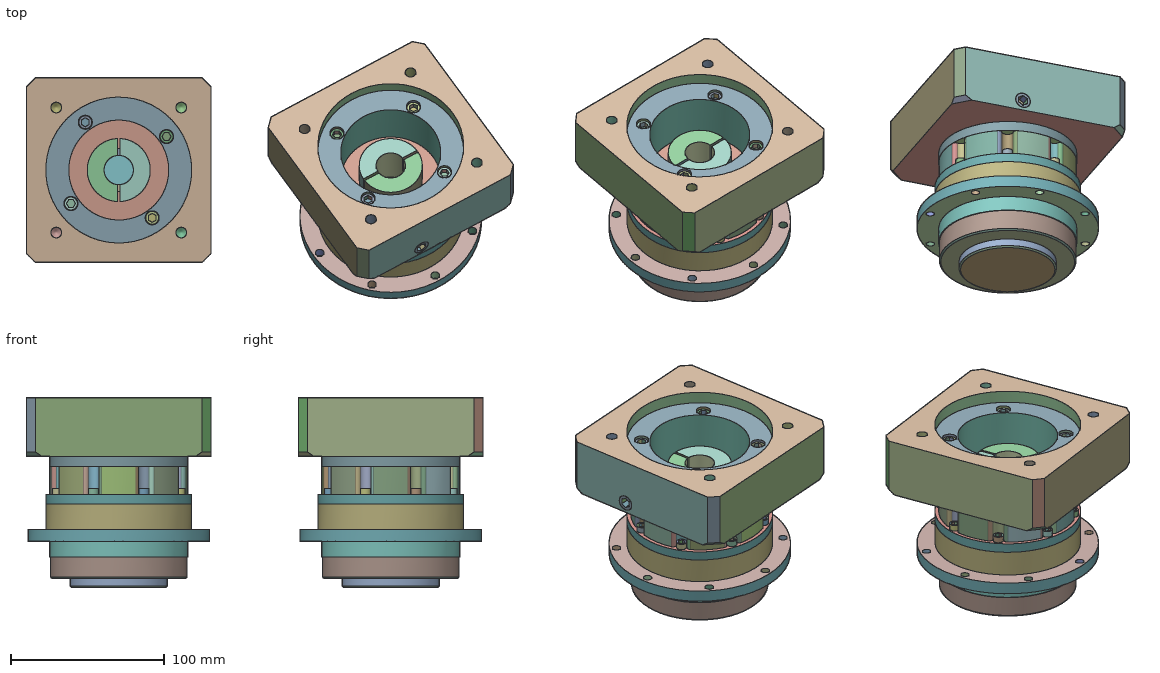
import cadquery as cq
import math

TOTAL_HEIGHT = 123.5
PLATE_HEIGHT = 38.3
PLATE_BOTTOM_Z = TOTAL_HEIGHT - PLATE_HEIGHT
COVER_TOP_Z = 78.7
SHOULDER_Z = 60.5
COVER_BOTTOM_Z = 54.3
FLANGE_TOP_Z = 37.8
FLANGE_BOTTOM_Z = 30.0
PILOT_BOTTOM_Z = 20.0
NOSE_BOTTOM_Z = 5.8

NECK_RADIUS = 45.0
DRUM_RADIUS = 47.4
FLANGE_RADIUS = 59.0
PILOT_RADIUS = NECK_RADIUS
NOSE_RADIUS = 44.5
HUB_RADIUS = 31.6
BOTTOM_CHAMFER = 1.0

FLANGE_HOLE_COUNT = 8
FLANGE_HOLE_RADIUS = 2.7
FLANGE_HOLE_CIRCLE = 54.5

NECK_SCREW_COUNT = 8
NECK_SCREW_CIRCLE = 43.0
NECK_SCREW_RADIUS = 3.3
NECK_SCREW_HEIGHT = 4.0
NECK_SOCKET_FLATS = 4.0
NECK_SOCKET_DEPTH = 2.5
POCKET_RADIUS = 3.7
POCKET_EDGE_ROUND = 2.5

WELL_RADIUS = 32.5
WELL_FLOOR_Z = 81.8
COLLET_RADIUS = 20.5
COLLET_TOP_Z = 99.2
COLLET_BORE_RADIUS = 9.5
COLLET_BORE_DEPTH = 29.6
SLOT_WIDTH = 1.5
SLEEVE_RADIUS = 14.0
SLEEVE_SLOT_DEPTH = 14.8

PLATE_SIDE = 120.0
CORNER_CHAMFER = 5.8
CORNER_BOTTOM_CHAMFER = 3.0
RECESS_RADIUS = 47.4
RECESS_DEPTH = 8.0
RECESS_FLOOR_Z = TOTAL_HEIGHT - RECESS_DEPTH

CORNER_HOLE_PITCH = 81.3
CORNER_HOLE_RADIUS = 3.5
CORNER_HOLE_DEPTH = 19.8
DRILL_TIP_ANGLE = 118.0

PLATE_SCREW_COUNT = 4
PLATE_SCREW_CIRCLE = 37.9
PLATE_SCREW_START_ANGLE = 35.0
COUNTERBORE_RADIUS = 4.6
PLATE_SCREW_RADIUS = 4.2
PLATE_SCREW_HEIGHT = 5.0
PLATE_SCREW_SINK = 1.5
PLATE_SOCKET_FLATS = 5.1
PLATE_SOCKET_DEPTH = 3.7

PLUG_Y = 14.0
PLUG_Z = 92.4
PLUG_RADIUS = 5.1
PLUG_HOLE_RADIUS = 5.2
PLUG_LENGTH = 10.0
PLUG_SOCKET_FLATS = 6.0
PLUG_SOCKET_DEPTH = 6.2


def cylinder(radius, bottom_z, top_z, x=0.0, y=0.0):
    """Upright cylinder between two heights."""
    return cq.Workplane("XY", origin=(x, y, bottom_z)).circle(radius).extrude(top_z - bottom_z)


def hexagon_prism(flats, bottom_z, top_z, x=0.0, y=0.0, turn=0.0):
    """Upright hexagonal prism; at zero turn its first corner points along +X."""
    corner_diameter = flats / math.cos(math.pi / 6)
    prism = cq.Workplane("XY").polygon(6, corner_diameter).extrude(top_z - bottom_z)
    return prism.rotate((0, 0, 0), (0, 0, 1), turn).translate((x, y, bottom_z))


def socket_head(radius, bottom_z, top_z, flats, socket_depth, x, y, turn):
    """Cylindrical screw head with a hexagonal socket in its top."""
    socket = hexagon_prism(flats, top_z - socket_depth, top_z, x, y, turn)
    return cylinder(radius, bottom_z, top_z, x, y).cut(socket)


def circle_points(count, radius, start_angle):
    """Evenly spaced (angle, x, y) places on a circle."""
    places = []
    for i in range(count):
        angle = start_angle + i * 360.0 / count
        turn = math.radians(angle)
        places.append((angle, radius * math.cos(turn), radius * math.sin(turn)))
    return places


def make_neck_pocket():
    """Scalloped pocket on the +X side: a round bore whose mouth flares out through two round edges."""
    centre_radius = NECK_RADIUS - POCKET_EDGE_ROUND
    centre_gap = POCKET_RADIUS + POCKET_EDGE_ROUND
    round_x = (centre_radius**2 + NECK_SCREW_CIRCLE**2 - centre_gap**2) / (2 * NECK_SCREW_CIRCLE)
    round_y = math.sqrt(centre_radius**2 - round_x**2)

    bore_share = POCKET_RADIUS / centre_gap
    bore_x = NECK_SCREW_CIRCLE + (round_x - NECK_SCREW_CIRCLE) * bore_share
    bore_y = round_y * bore_share
    neck_x = round_x * NECK_RADIUS / centre_radius
    neck_y = round_y * NECK_RADIUS / centre_radius

    to_bore = math.atan2(bore_y - round_y, bore_x - round_x)
    to_neck = math.atan2(neck_y - round_y, neck_x - round_x)
    halfway = (to_bore + to_neck) / 2
    middle_x = round_x + POCKET_EDGE_ROUND * math.cos(halfway)
    middle_y = round_y + POCKET_EDGE_ROUND * math.sin(halfway)

    return (
        cq.Workplane("XY", origin=(0, 0, SHOULDER_Z))
        .moveTo(neck_x, neck_y)
        .threePointArc((middle_x, middle_y), (bore_x, bore_y))
        .threePointArc((NECK_SCREW_CIRCLE - POCKET_RADIUS, 0), (bore_x, -bore_y))
        .threePointArc((middle_x, -middle_y), (neck_x, -neck_y))
        .lineTo(DRUM_RADIUS, -neck_y)
        .lineTo(DRUM_RADIUS, neck_y)
        .close()
        .extrude(COVER_TOP_Z - SHOULDER_Z)
    )


def make_collet():
    """Slotted clamping collet; its bore is cut separately, into the cover as well."""
    collet = cylinder(COLLET_RADIUS, WELL_FLOOR_Z, COLLET_TOP_Z)
    slot_height = COLLET_TOP_Z - WELL_FLOOR_Z
    slot = (
        cq.Workplane("XY", origin=(0, 0, WELL_FLOOR_Z))
        .rect(SLOT_WIDTH, 2 * COLLET_RADIUS)
        .extrude(slot_height)
    )
    uncut_sleeve = cylinder(SLEEVE_RADIUS, WELL_FLOOR_Z, COLLET_TOP_Z - SLEEVE_SLOT_DEPTH)
    return collet.cut(slot.cut(uncut_sleeve))


def make_gear_unit():
    """Gear unit with output hub, pilot, drilled mounting flange and main drum."""
    hub = cylinder(HUB_RADIUS, 0, NOSE_BOTTOM_Z).faces("<Z").chamfer(BOTTOM_CHAMFER)
    nose = cylinder(NOSE_RADIUS, NOSE_BOTTOM_Z, PILOT_BOTTOM_Z).faces("<Z").chamfer(BOTTOM_CHAMFER)
    gear_unit = (
        hub.union(nose)
        .union(cylinder(PILOT_RADIUS, PILOT_BOTTOM_Z, FLANGE_BOTTOM_Z))
        .union(cylinder(FLANGE_RADIUS, FLANGE_BOTTOM_Z, FLANGE_TOP_Z))
        .union(cylinder(DRUM_RADIUS, FLANGE_TOP_Z, COVER_BOTTOM_Z))
    )
    for _, x, y in circle_points(FLANGE_HOLE_COUNT, FLANGE_HOLE_CIRCLE, 0):
        gear_unit = gear_unit.cut(cylinder(FLANGE_HOLE_RADIUS, FLANGE_BOTTOM_Z, FLANGE_TOP_Z, x, y))
    return gear_unit


def make_input_cover():
    """Input cover with scalloped neck, neck screws, centring spigot and collet."""
    cover = (
        cylinder(DRUM_RADIUS, COVER_BOTTOM_Z, SHOULDER_Z)
        .union(cylinder(NECK_RADIUS, SHOULDER_Z, COVER_TOP_Z))
        .union(cylinder(WELL_RADIUS, COVER_TOP_Z, WELL_FLOOR_Z))
    )

    pocket = make_neck_pocket()
    half_pitch = 180.0 / NECK_SCREW_COUNT
    head_top_z = SHOULDER_Z + NECK_SCREW_HEIGHT
    for angle, x, y in circle_points(NECK_SCREW_COUNT, NECK_SCREW_CIRCLE, half_pitch):
        cover = cover.cut(pocket.rotate((0, 0, 0), (0, 0, 1), angle))
        head = socket_head(NECK_SCREW_RADIUS, SHOULDER_Z, head_top_z,
                           NECK_SOCKET_FLATS, NECK_SOCKET_DEPTH, x, y, angle)
        cover = cover.union(head)

    cover = cover.union(make_collet())
    return cover.cut(cylinder(COLLET_BORE_RADIUS, COLLET_TOP_Z - COLLET_BORE_DEPTH, COLLET_TOP_Z))


def place_in_side(shape):
    """Move a shape built around the X axis into the plug position."""
    return shape.translate((-PLATE_SIDE / 2, PLUG_Y, PLUG_Z))


def make_plug_gap():
    """Narrow ring-shaped clearance around the plug."""
    gap = cq.Workplane("YZ").circle(PLUG_HOLE_RADIUS).circle(PLUG_RADIUS).extrude(PLUG_LENGTH)
    return place_in_side(gap)


def make_plug_socket():
    """Hexagonal socket of the plug, with two corners pointing up and down."""
    corner_diameter = PLUG_SOCKET_FLATS / math.cos(math.pi / 6)
    socket = cq.Workplane("YZ").polygon(6, corner_diameter).extrude(PLUG_SOCKET_DEPTH)
    return place_in_side(socket.rotate((0, 0, 0), (1, 0, 0), 90))


def make_corner_hole(x, y):
    """Blind drilled hole from the top of the plate, with a conical tip."""
    tip_depth = CORNER_HOLE_RADIUS / math.tan(math.radians(DRILL_TIP_ANGLE / 2))
    return (
        cq.Workplane("XZ")
        .polyline([
            (0, 0),
            (CORNER_HOLE_RADIUS, 0),
            (CORNER_HOLE_RADIUS, -CORNER_HOLE_DEPTH),
            (0, -CORNER_HOLE_DEPTH - tip_depth),
        ])
        .close()
        .revolve(360, (0, 0, 0), (0, 1, 0))
        .translate((x, y, TOTAL_HEIGHT))
    )


def make_adapter_plate():
    """Square motor adapter plate with a neck ring below, its screws and its plug."""
    plate = (
        cq.Workplane("XY", origin=(0, 0, PLATE_BOTTOM_Z))
        .rect(PLATE_SIDE, PLATE_SIDE)
        .extrude(PLATE_HEIGHT)
        .edges("|Z")
        .chamfer(CORNER_CHAMFER)
    )
    corner_bottom_edges = plate.faces("<Z").edges("not(#X or #Y)")
    plate = corner_bottom_edges.chamfer(CORNER_BOTTOM_CHAMFER)

    plate = plate.union(cylinder(NECK_RADIUS, COVER_TOP_Z, PLATE_BOTTOM_Z))
    plate = plate.cut(cylinder(RECESS_RADIUS, RECESS_FLOOR_Z, TOTAL_HEIGHT))
    plate = plate.cut(cylinder(WELL_RADIUS, COVER_TOP_Z, TOTAL_HEIGHT))

    for x in (-CORNER_HOLE_PITCH / 2, CORNER_HOLE_PITCH / 2):
        for y in (-CORNER_HOLE_PITCH / 2, CORNER_HOLE_PITCH / 2):
            plate = plate.cut(make_corner_hole(x, y))

    head_top_z = RECESS_FLOOR_Z - PLATE_SCREW_SINK
    head_bottom_z = head_top_z - PLATE_SCREW_HEIGHT
    places = circle_points(PLATE_SCREW_COUNT, PLATE_SCREW_CIRCLE, PLATE_SCREW_START_ANGLE)
    for angle, x, y in places:
        plate = plate.cut(cylinder(COUNTERBORE_RADIUS, head_bottom_z, RECESS_FLOOR_Z, x, y))
        head = socket_head(PLATE_SCREW_RADIUS, head_bottom_z, head_top_z, PLATE_SOCKET_FLATS,
                           PLATE_SOCKET_DEPTH, x, y, angle - PLATE_SCREW_START_ANGLE)
        plate = plate.union(head)

    return plate.cut(make_plug_gap()).cut(make_plug_socket())


gear_unit = make_gear_unit()
input_cover = make_input_cover()
adapter_plate = make_adapter_plate()

bodies = [gear_unit, input_cover, adapter_plate]
result = cq.Compound.makeCompound([body.solids().val() for body in bodies])